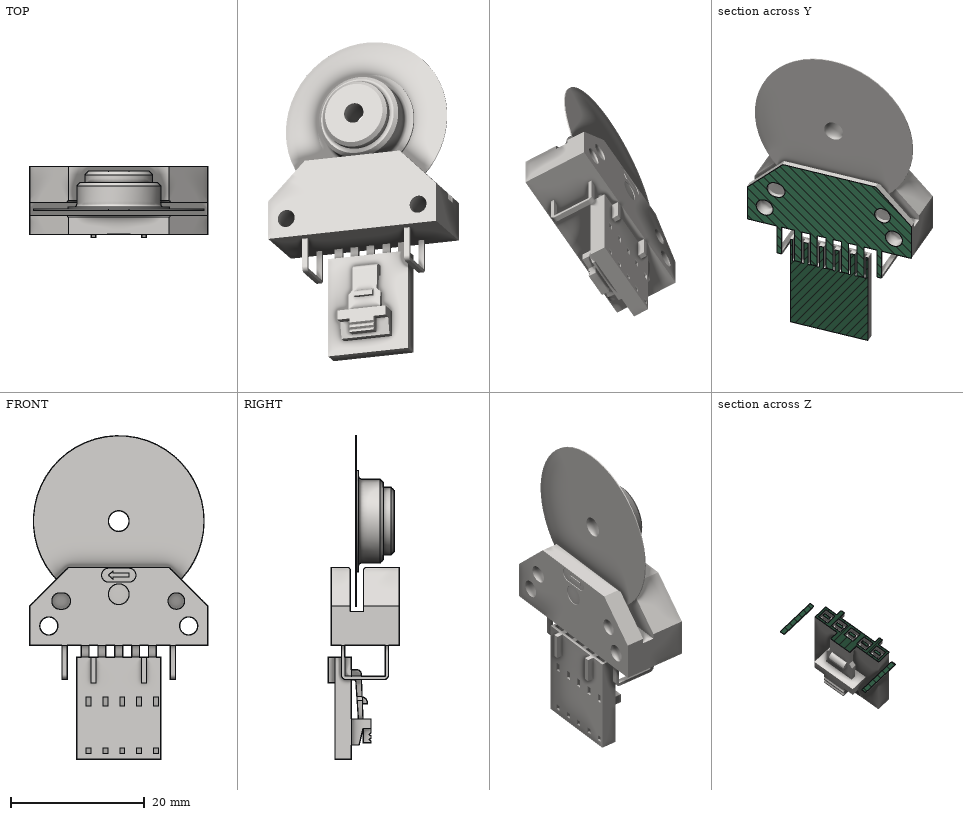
import cadquery as cq
import math

TOTAL_HEIGHT = 48.45

DISC_DIAMETER = 25.6
DISC_THICKNESS = 0.16
WHEEL_AXIS_Z = TOTAL_HEIGHT - DISC_DIAMETER / 2
BORE_DIAMETER = 3.05
FLANGE_RADIUS = 7.6
FLANGE_BACK_Y = 0.4
HUB_RADIUS = 6.3
HUB_FILLET = 0.5
HUB_SHOULDER_Y = 4.1
COLLAR_RADIUS = 5.1
COLLAR_BACK_Y = 5.75
HUB_CHAMFER = 0.55

HOUSING_WIDTH = 26.65
HOUSING_FRONT_Y = -3.75
HOUSING_BACK_Y = 6.5
HOUSING_BOTTOM_Z = 17.05
HOUSING_SHOULDER_Z = 22.95
HOUSING_TOP_Z = 28.75
HOUSING_TOP_WIDTH = 15.05
SLOT_FRONT_Y = -0.8
SLOT_BACK_Y = 1.1
SLOT_FLOOR_Z = 22.15
SLOT_CHAMFER = 0.3

MOUNT_HOLE_DIAMETER = 2.65
MOUNT_HOLE_X = 10.45
MOUNT_HOLE_Z = 19.95
LOCATING_HOLE_DIAMETER = 2.45
LOCATING_HOLE_LENGTH = 2.8
LOCATING_HOLE_X = 8.65
LOCATING_HOLE_Z = 23.7
LOCATING_HOLE_DEPTH = 2.4
MARK_DEPTH = 0.1
ROUND_MARK_DIAMETER = 3.1
ROUND_MARK_Z = 24.7
OVAL_MARK_LENGTH = 5.15
OVAL_MARK_HEIGHT = 2.1
OVAL_MARK_Z = 27.55
ARROW_HALF_LENGTH = 1.55
ARROW_HEAD_LENGTH = 0.75
ARROW_HEAD_HALF_HEIGHT = 0.65
ARROW_SHAFT_HALF_HEIGHT = 0.3

BRACKET_X = 8.1
BRACKET_WIDTH = 0.8
BRACKET_FRONT_Y = -2.2
BRACKET_BACK_Y = 4.9
BRACKET_BOTTOM_Z = 11.9
BRACKET_THICKNESS = 0.55
BRACKET_BEND_RADIUS = 0.75

CONNECTOR_WIDTH = 12.65
CONNECTOR_FRONT_Y = -3.15
CONNECTOR_BACK_Y = -0.7
CONNECTOR_TOP_Z = 15.3
FIN_X = 3.8
FIN_WIDTH = 0.75
FIN_FRONT_Y = -4.15
FIN_BOTTOM_Z = 11.45

CONTACT_COUNT = 5
CONTACT_PITCH = 2.5
CONTACT_XS = [(i - (CONTACT_COUNT - 1) / 2) * CONTACT_PITCH for i in range(CONTACT_COUNT)]
CONTACT_Y = (CONNECTOR_FRONT_Y + CONNECTOR_BACK_Y) / 2
PIN_WIDTH = 1.2
PIN_THICKNESS = 0.5
SOCKET_WIDTH = 1.75
SOCKET_WALL = 0.45
SOCKET_DEPTH = 3.9
SOCKET_FLOOR_Z = CONNECTOR_TOP_Z - SOCKET_DEPTH

WINDOW_OFFSET_X = 0.55
WINDOW_WIDTH = 0.75
WINDOW_DEPTH = 0.35
WINDOW_ROWS = [(8.0, 9.3), (0.85, 1.7)]

ARM_TOP_Z = 13.4
ARM_ROOT_THICKNESS = 1.55
ARM_ROOT_RADIUS = 0.7
ARM_INNER_RADIUS = 0.3
ARM_FRONT_TOP_Y = -0.05
ARM_FRONT_FOOT_Y = 0.35
ARM_BACK_TOP_Y = 0.78
ARM_BACK_FOOT_Y = 1.05
ARM_UPPER_WIDTH = 3.9
ARM_LOWER_WIDTH = 5.05
ARM_SHOULDER_BOTTOM_Z = 8.8
ARM_SHOULDER_HEIGHT = (ARM_LOWER_WIDTH - ARM_UPPER_WIDTH) / 2
CATCH_WIDTH = 2.9
CATCH_ROOT_Y = 0.75
CATCH_TIP_Y = 1.7
CATCH_TIP_TOP_Z = 8.67
CATCH_CROWN_Y = 0.95
CATCH_BULGE = 0.1
CATCH_TOP_Z = 9.35
CATCH_BOTTOM_Z = 8.3
BLOCK_WIDTH = 7.6
BLOCK_BACK_Y = 2.3
BLOCK_TOP_Z = 6.05
BLOCK_UNDERSIDE_Z = 4.6
BLOCK_FOOT_Y = 0.5
BLOCK_FOOT_Z = 2.15
PAD_WIDTH = 3.9
PAD_FRONT_Y = 1.05
PAD_BOTTOM_Z = 2.45
GRIP_DEPTH = 0.3
GRIP_HEIGHT = 0.5
GRIP_ZS = [2.95, 3.75]


def box(x_range, y_range, z_range):
    """Box between two limits along each axis."""
    size = [high - low for low, high in (x_range, y_range, z_range)]
    corner = (x_range[0], y_range[0], z_range[0])
    return cq.Workplane("XY").box(*size, centered=False).translate(corner)


def centred_box(x, width, y_range, z_range):
    """Box of a given width centred at x."""
    return box((x - width / 2, x + width / 2), y_range, z_range)


def front_sketch(y):
    """Plane at depth y for outlines in X and Z; negative extrusion runs backwards (+Y)."""
    return cq.Workplane(cq.Plane(origin=(0, y, 0), xDir=(1, 0, 0), normal=(0, -1, 0)))


def side_sketch():
    """Plane at X = 0 for outlines in Y and Z."""
    return cq.Workplane("YZ")


def make_code_wheel():
    """Disc, flange, hub and collar turned about one axis, with a through bore."""
    bore_radius = BORE_DIAMETER / 2
    disc_radius = DISC_DIAMETER / 2
    disc_front = -DISC_THICKNESS / 2
    disc_back = DISC_THICKNESS / 2
    fillet_mid = HUB_FILLET * (1 - math.sqrt(0.5))
    profile = (
        cq.Workplane("XY")
        .moveTo(bore_radius, disc_front)
        .lineTo(disc_radius, disc_front)
        .lineTo(disc_radius, disc_back)
        .lineTo(FLANGE_RADIUS, disc_back)
        .lineTo(FLANGE_RADIUS, FLANGE_BACK_Y)
        .lineTo(HUB_RADIUS + HUB_FILLET, FLANGE_BACK_Y)
        .threePointArc(
            (HUB_RADIUS + fillet_mid, FLANGE_BACK_Y + fillet_mid),
            (HUB_RADIUS, FLANGE_BACK_Y + HUB_FILLET),
        )
        .lineTo(HUB_RADIUS, HUB_SHOULDER_Y - HUB_CHAMFER)
        .lineTo(HUB_RADIUS - HUB_CHAMFER, HUB_SHOULDER_Y)
        .lineTo(COLLAR_RADIUS, HUB_SHOULDER_Y)
        .lineTo(COLLAR_RADIUS, COLLAR_BACK_Y - HUB_CHAMFER)
        .lineTo(COLLAR_RADIUS - HUB_CHAMFER, COLLAR_BACK_Y)
        .lineTo(bore_radius, COLLAR_BACK_Y)
        .close()
    )
    wheel = profile.revolve(360, (0, 0, 0), (0, 1, 0))
    return wheel.translate((0, 0, WHEEL_AXIS_Z))


def make_housing_block():
    """Block with sloped upper corners."""
    half_width = HOUSING_WIDTH / 2
    half_top = HOUSING_TOP_WIDTH / 2
    outline = [
        (-half_width, HOUSING_BOTTOM_Z),
        (half_width, HOUSING_BOTTOM_Z),
        (half_width, HOUSING_SHOULDER_Z),
        (half_top, HOUSING_TOP_Z),
        (-half_top, HOUSING_TOP_Z),
        (-half_width, HOUSING_SHOULDER_Z),
    ]
    depth = HOUSING_BACK_Y - HOUSING_FRONT_Y
    return front_sketch(HOUSING_FRONT_Y).polyline(outline).close().extrude(-depth)


def make_disc_slot():
    """Slot for the disc along the full width, chamfered at its mouth."""
    chamfer_bottom = HOUSING_TOP_Z - SLOT_CHAMFER
    outline = [
        (SLOT_FRONT_Y, SLOT_FLOOR_Z),
        (SLOT_BACK_Y, SLOT_FLOOR_Z),
        (SLOT_BACK_Y, chamfer_bottom),
        (SLOT_BACK_Y + SLOT_CHAMFER, HOUSING_TOP_Z),
        (SLOT_FRONT_Y - SLOT_CHAMFER, HOUSING_TOP_Z),
        (SLOT_FRONT_Y, chamfer_bottom),
    ]
    return side_sketch().polyline(outline).close().extrude(HOUSING_WIDTH / 2, both=True)


def make_housing_holes():
    """Two through mounting holes, and a blind slotted and a blind round locating hole."""
    mount_points = [(-MOUNT_HOLE_X, MOUNT_HOLE_Z), (MOUNT_HOLE_X, MOUNT_HOLE_Z)]
    depth = HOUSING_BACK_Y - HOUSING_FRONT_Y
    mounting = (
        front_sketch(HOUSING_FRONT_Y).pushPoints(mount_points)
        .circle(MOUNT_HOLE_DIAMETER / 2)
        .extrude(-depth)
    )
    slotted = (
        front_sketch(HOUSING_FRONT_Y).center(-LOCATING_HOLE_X, LOCATING_HOLE_Z)
        .slot2D(LOCATING_HOLE_LENGTH, LOCATING_HOLE_DIAMETER)
        .extrude(-LOCATING_HOLE_DEPTH)
    )
    plain = (
        front_sketch(HOUSING_FRONT_Y).center(LOCATING_HOLE_X, LOCATING_HOLE_Z)
        .circle(LOCATING_HOLE_DIAMETER / 2)
        .extrude(-LOCATING_HOLE_DEPTH)
    )
    return mounting.add(slotted).add(plain).combine()


def make_front_marks():
    """Shallow round recess, and a shallow oval recess around a standing arrow."""
    round_mark = (
        front_sketch(HOUSING_FRONT_Y).center(0, ROUND_MARK_Z)
        .circle(ROUND_MARK_DIAMETER / 2)
        .extrude(-MARK_DEPTH)
    )
    oval_mark = (
        front_sketch(HOUSING_FRONT_Y).center(0, OVAL_MARK_Z)
        .slot2D(OVAL_MARK_LENGTH, OVAL_MARK_HEIGHT)
        .extrude(-MARK_DEPTH)
    )
    head_base_x = ARROW_HEAD_LENGTH - ARROW_HALF_LENGTH
    arrow_outline = [
        (-ARROW_HALF_LENGTH, 0),
        (head_base_x, ARROW_HEAD_HALF_HEIGHT),
        (head_base_x, ARROW_SHAFT_HALF_HEIGHT),
        (ARROW_HALF_LENGTH, ARROW_SHAFT_HALF_HEIGHT),
        (ARROW_HALF_LENGTH, -ARROW_SHAFT_HALF_HEIGHT),
        (head_base_x, -ARROW_SHAFT_HALF_HEIGHT),
        (head_base_x, -ARROW_HEAD_HALF_HEIGHT),
    ]
    arrow = (
        front_sketch(HOUSING_FRONT_Y).center(0, OVAL_MARK_Z)
        .polyline(arrow_outline).close()
        .extrude(-MARK_DEPTH)
    )
    return round_mark.union(oval_mark.cut(arrow))


def make_bracket(x):
    """U-shaped strip hanging from the housing, rounded on its outer bends."""
    y_range = (BRACKET_FRONT_Y, BRACKET_BACK_Y)
    outside = centred_box(x, BRACKET_WIDTH, y_range, (BRACKET_BOTTOM_Z, HOUSING_BOTTOM_Z))
    outside = outside.edges("|X and <Z").fillet(BRACKET_BEND_RADIUS)
    inside = centred_box(
        x,
        BRACKET_WIDTH,
        (BRACKET_FRONT_Y + BRACKET_THICKNESS, BRACKET_BACK_Y - BRACKET_THICKNESS),
        (BRACKET_BOTTOM_Z + BRACKET_THICKNESS, HOUSING_BOTTOM_Z),
    )
    return outside.cut(inside)


def make_encoder():
    """Housing with its two wire brackets and its row of contact pins."""
    encoder = make_housing_block().cut(make_disc_slot())
    encoder = encoder.cut(make_housing_holes()).cut(make_front_marks())
    for side in (-1, 1):
        encoder = encoder.union(make_bracket(side * BRACKET_X))
    pin_y_range = (CONTACT_Y - PIN_THICKNESS / 2, CONTACT_Y + PIN_THICKNESS / 2)
    for x in CONTACT_XS:
        pin = centred_box(x, PIN_WIDTH, pin_y_range, (SOCKET_FLOOR_Z, HOUSING_BOTTOM_Z))
        encoder = encoder.union(pin)
    return encoder


def make_connector_body():
    """Flat block with two front fins, pin sockets in its top and windows in its front."""
    y_range = (CONNECTOR_FRONT_Y, CONNECTOR_BACK_Y)
    body = centred_box(0, CONNECTOR_WIDTH, y_range, (0, CONNECTOR_TOP_Z))
    fin_y_range = (FIN_FRONT_Y, CONNECTOR_FRONT_Y)
    for side in (-1, 1):
        fin = centred_box(side * FIN_X, FIN_WIDTH, fin_y_range, (FIN_BOTTOM_Z, CONNECTOR_TOP_Z))
        body = body.union(fin)

    socket_y_range = (CONNECTOR_FRONT_Y + SOCKET_WALL, CONNECTOR_BACK_Y - SOCKET_WALL)
    socket_z_range = (SOCKET_FLOOR_Z, CONNECTOR_TOP_Z)
    window_y_range = (CONNECTOR_FRONT_Y, CONNECTOR_FRONT_Y + WINDOW_DEPTH)
    for x in CONTACT_XS:
        body = body.cut(centred_box(x, SOCKET_WIDTH, socket_y_range, socket_z_range))
        for window_z_range in WINDOW_ROWS:
            window_x = x + WINDOW_OFFSET_X
            body = body.cut(centred_box(window_x, WINDOW_WIDTH, window_y_range, window_z_range))
    return body


def make_latch_arm():
    """Arm bent down from the connector back, leaning outwards, with a wider lower part."""
    root_bottom_z = ARM_TOP_Z - ARM_ROOT_THICKNESS
    outline = [
        (CONNECTOR_BACK_Y, ARM_TOP_Z),
        (ARM_BACK_TOP_Y, ARM_TOP_Z),
        (ARM_BACK_FOOT_Y, BLOCK_TOP_Z),
        (ARM_FRONT_FOOT_Y, BLOCK_TOP_Z),
        (ARM_FRONT_TOP_Y, root_bottom_z),
        (CONNECTOR_BACK_Y, root_bottom_z),
    ]
    arm = side_sketch().polyline(outline).close().extrude(ARM_LOWER_WIDTH / 2, both=True)
    arm = arm.edges("|X").edges(">Z").edges(">Y").fillet(ARM_ROOT_RADIUS)
    inner_corner = cq.selectors.NearestToPointSelector((0, ARM_FRONT_TOP_Y, root_bottom_z))
    arm = arm.edges("|X").edges(inner_corner).fillet(ARM_INNER_RADIUS)

    half_upper = ARM_UPPER_WIDTH / 2
    half_lower = ARM_LOWER_WIDTH / 2
    shoulder_top_z = ARM_SHOULDER_BOTTOM_Z + ARM_SHOULDER_HEIGHT
    face_outline = [
        (-half_lower, BLOCK_TOP_Z),
        (half_lower, BLOCK_TOP_Z),
        (half_lower, ARM_SHOULDER_BOTTOM_Z),
        (half_upper, shoulder_top_z),
        (half_upper, ARM_TOP_Z),
        (-half_upper, ARM_TOP_Z),
        (-half_upper, shoulder_top_z),
        (-half_lower, ARM_SHOULDER_BOTTOM_Z),
    ]
    reach = BLOCK_BACK_Y - CONNECTOR_BACK_Y
    face = front_sketch(CONNECTOR_BACK_Y).polyline(face_outline).close().extrude(-reach)
    return arm.intersect(face)


def make_latch_catch():
    """Hook on the back of the arm with a rounded, sloping top."""
    bulge_y = (CATCH_TIP_Y + CATCH_CROWN_Y) / 2 + CATCH_BULGE
    bulge_z = (CATCH_TIP_TOP_Z + CATCH_TOP_Z) / 2 + CATCH_BULGE
    profile = (
        side_sketch()
        .moveTo(CATCH_ROOT_Y, CATCH_BOTTOM_Z)
        .lineTo(CATCH_TIP_Y, CATCH_BOTTOM_Z)
        .lineTo(CATCH_TIP_Y, CATCH_TIP_TOP_Z)
        .threePointArc((bulge_y, bulge_z), (CATCH_CROWN_Y, CATCH_TOP_Z))
        .lineTo(CATCH_ROOT_Y, CATCH_TOP_Z)
        .close()
    )
    return profile.extrude(CATCH_WIDTH / 2, both=True)


def make_latch_block():
    """Block at the foot of the arm that tapers down beside the finger pad."""
    outline = [
        (CONNECTOR_BACK_Y, BLOCK_TOP_Z),
        (BLOCK_BACK_Y, BLOCK_TOP_Z),
        (BLOCK_BACK_Y, BLOCK_UNDERSIDE_Z),
        (PAD_FRONT_Y, BLOCK_UNDERSIDE_Z),
        (BLOCK_FOOT_Y, BLOCK_FOOT_Z),
        (CONNECTOR_BACK_Y, BLOCK_FOOT_Z),
    ]
    return side_sketch().polyline(outline).close().extrude(BLOCK_WIDTH / 2, both=True)


def make_finger_pad():
    """Pad under the block with V-shaped grip grooves across its back."""
    pad = centred_box(
        0, PAD_WIDTH, (PAD_FRONT_Y, BLOCK_BACK_Y), (PAD_BOTTOM_Z, BLOCK_UNDERSIDE_Z)
    )
    for z in GRIP_ZS:
        groove_outline = [
            (BLOCK_BACK_Y, z - GRIP_HEIGHT / 2),
            (BLOCK_BACK_Y, z + GRIP_HEIGHT / 2),
            (BLOCK_BACK_Y - GRIP_DEPTH, z),
        ]
        groove = side_sketch().polyline(groove_outline).close().extrude(PAD_WIDTH / 2, both=True)
        pad = pad.cut(groove)
    return pad


def make_connector():
    """Connector body with its rear latch."""
    connector = make_connector_body()
    for latch_part in (make_latch_arm(), make_latch_catch(), make_latch_block(), make_finger_pad()):
        connector = connector.union(latch_part)
    return connector


code_wheel = make_code_wheel()
encoder = make_encoder()
connector = make_connector()

bodies = [code_wheel, encoder, connector]
result = cq.Compound.makeCompound([body.solids().val() for body in bodies])